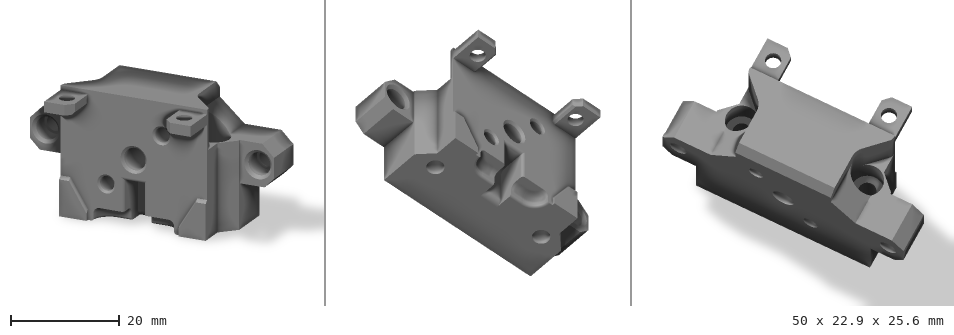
import cadquery as cq
import math

body_half_width = 15.0
body_depth = 15.9
body_height = 25.55
back_chamfer = 1.5

shoulder_half_width = 18.0
shoulder_corner_y = 8.5
shoulder_height = 17.55
ear_half_width = 24.95
ear_depth = 8.2
ear_bottom = 9.05
ear_top_chamfer = 2.4
ear_bottom_chamfer = 1.95
tip_width = 0.7
tip_overhang = 0.1
tip_depth = 0.9

ear_hole_x = 21.75
axis_z = (shoulder_height + ear_bottom) / 2
ear_mouth_dia = 5.7
ear_bore_dia = 4.5
ear_bore_depth = 4.0
screw_dia = 3.4

well_x = 13.0
well_y = 8.65
well_dia = 6.2
well_floor = 12.5
well_radius = well_dia / 2
slope_top = 22.1
well_edge_fillet = 1.5

center_dia = 4.4
center_mouth_dia = 5.4
pin_dia = 2.9
pin_mouth_dia = 3.7
pin_offset = 5.65

lug_width = 5.6
lug_reach = 6.95
lug_bottom = 22.55
lug_thickness = 2.1
lug_corner = 1.4
lug_under_chamfer = 0.45
lug_hole_x = 12.0
lug_hole_reach = 3.45
lug_hole_dia = 3.0

foot_rise = 0.6
foot_top = 7.85
foot_flat_x = 13.0
foot_inner_x = 9.4
foot_base_z = 2.1
foot_raised_z = 1.4

pocket_half_width = 8.25
pocket_height = 2.7
pocket_depth = 3.25
pocket_corner = 3.2
pocket_roof_fillet = 1.2
pocket_rim_fillet = 0.5
slot_half_width = 2.05
slot_height = 8.95
slot_depth = 6.0
slot_end_fillet = 1.1
slot_mouth_fillet = 0.6

margin = 0.05


def both_sides(shape):
    """Return the shape together with its mirror image in the YZ plane."""
    return shape.union(shape.mirror("YZ"))


def box(x0, x1, y0, y1, z0, z1):
    """Box between two corners."""
    return cq.Workplane("XY").box(x1 - x0, y1 - y0, z1 - z0, centered=False).translate((x0, y0, z0))


def near_box(x0, x1, y0, y1, z0, z1):
    """Selector for the edges whose centre lies in a box."""
    return cq.selectors.BoxSelector((x0, y0, z0), (x1, y1, z1))


def front_hole(x, z, dia, mouth_dia, face_y, depth):
    """Hole going in from the front face at -face_y, with a 45 degree countersink."""
    radius = dia / 2
    mouth_radius = mouth_dia / 2
    sink = mouth_radius - radius
    profile = [(0, 0), (mouth_radius, 0), (radius, sink), (radius, depth), (0, depth)]
    hole = cq.Workplane("XY").polyline(profile).close().revolve(360, (0, 0), (0, 1))
    return hole.translate((x, -face_y, z))


def make_body():
    block = box(-body_half_width, body_half_width, -body_depth, 0, 0, body_height)
    return block.edges(">Y and >Z").chamfer(back_chamfer)


def make_shoulders():
    corner_run = shoulder_half_width - body_half_width
    outline = [
        (-shoulder_half_width, 0),
        (-shoulder_half_width, -shoulder_corner_y),
        (-body_half_width, -shoulder_corner_y - corner_run),
        (body_half_width, -shoulder_corner_y - corner_run),
        (shoulder_half_width, -shoulder_corner_y),
        (shoulder_half_width, 0),
    ]
    return cq.Workplane("XY").polyline(outline).close().extrude(shoulder_height)


def make_ears():
    bar = box(-ear_half_width, ear_half_width, -ear_depth, 0, ear_bottom, shoulder_height)
    bar = bar.edges("|Y and >Z").chamfer(ear_top_chamfer)
    bar = bar.edges("|Y and <Z").chamfer(ear_bottom_chamfer)
    tip_z = shoulder_height - ear_top_chamfer
    outline = [
        (ear_half_width - tip_width, tip_z),
        (ear_half_width - tip_width, tip_z + tip_width),
        (ear_half_width + tip_overhang, tip_z),
        (ear_half_width, tip_z - tip_overhang),
    ]
    tip = cq.Workplane("XZ").polyline(outline).close().extrude(tip_depth)
    return bar.union(tip)


def make_well_relief():
    """Space above the +x shoulder: slope behind the well axis, 45 degree flank in front of it."""
    inner_x = well_x - well_radius
    slope = (
        cq.Workplane("XZ")
        .polyline([
            (body_half_width, shoulder_height),
            (inner_x, slope_top),
            (inner_x, body_height),
            (body_half_width, body_height),
        ])
        .close()
        .extrude(well_y)
    )
    tangent = well_radius * math.sqrt(0.5)
    tangent_x = well_x - tangent
    tangent_y = well_y + tangent
    flank_end_y = tangent_y + body_half_width - tangent_x
    flank = (
        cq.Workplane("XY", origin=(0, 0, shoulder_height))
        .polyline([
            (body_half_width, -well_y),
            (well_x, -well_y),
            (tangent_x, -tangent_y),
            (body_half_width, -flank_end_y),
        ])
        .close()
        .extrude(body_height - shoulder_height)
    )
    return slope.union(flank)


def make_lug():
    """Lug on the +x side of the front face."""
    inner_x = body_half_width - lug_width
    lug_front = -body_depth - lug_reach
    lug = box(inner_x, body_half_width, lug_front, -body_depth, lug_bottom, lug_bottom + lug_thickness)
    lug = lug.edges("|Z and <X and <Y").chamfer(lug_corner)
    lug = lug.edges("|Y and <X and <Z").chamfer(lug_under_chamfer)
    hole = (
        cq.Workplane("XY", origin=(lug_hole_x, -body_depth - lug_hole_reach, lug_bottom))
        .circle(lug_hole_dia / 2)
        .extrude(lug_thickness)
    )
    return lug.cut(hole)


def make_foot():
    """Raised foot with sloping flanks at the lower +x corner of the front face."""
    base = [
        (body_half_width, 0),
        (body_half_width, foot_top),
        (foot_flat_x, foot_top),
        (foot_inner_x, foot_base_z),
        (foot_inner_x, 0),
    ]
    raised = [
        (body_half_width, 0),
        (body_half_width, foot_top - foot_rise),
        (foot_flat_x, foot_top - foot_rise),
        (foot_inner_x, foot_raised_z),
        (foot_inner_x, 0),
    ]
    return (
        cq.Workplane("XZ", origin=(0, -body_depth, 0))
        .polyline(base)
        .close()
        .workplane(offset=foot_rise)
        .polyline(raised)
        .close()
        .loft(ruled=True)
    )


def cut_slot(part):
    front = -body_depth
    slot = box(-slot_half_width, slot_half_width, front, front + slot_depth, 0, slot_height)
    slot = slot.edges(">Y and >Z").fillet(slot_end_fillet)
    part = part.cut(slot)
    mouth = near_box(
        -slot_half_width - margin, slot_half_width + margin,
        front - margin, front + margin,
        margin, slot_height + margin,
    )
    part = part.edges(mouth).fillet(slot_mouth_fillet)
    back = front + slot_depth
    lower_end = near_box(-margin, margin, back - margin, back + margin, -margin, margin)
    return part.edges(lower_end).fillet(slot_end_fillet)


def cut_pocket(part):
    front = -body_depth
    back = front + pocket_depth
    pocket = box(-pocket_half_width, pocket_half_width, front, back, 0, pocket_height)
    pocket = pocket.edges("|Z and >Y").fillet(pocket_corner)
    roof_edges = near_box(
        -pocket_half_width - margin, pocket_half_width + margin,
        front + margin, back + margin,
        pocket_height - margin, pocket_height + margin,
    )
    pocket = pocket.edges(roof_edges).fillet(pocket_roof_fillet)
    part = part.cut(pocket)
    rim = near_box(
        -pocket_half_width - margin, pocket_half_width + margin,
        front + margin, back + margin,
        -margin, margin,
    )
    return part.edges(rim).fillet(pocket_rim_fillet)


def make_ear_hole(side):
    """Screw hole through an ear, counterbored and countersunk from the front."""
    x = side * ear_hole_x
    bore = front_hole(x, axis_z, ear_bore_dia, ear_mouth_dia, ear_depth, ear_bore_depth)
    screw = cq.Workplane("XZ", origin=(x, 0, axis_z)).circle(screw_dia / 2).extrude(ear_depth)
    return bore.union(screw)


def make_well(side):
    """Round well open to the top, with a screw hole from its floor to the bottom."""
    axis = cq.Workplane("XY", origin=(side * well_x, -well_y, 0))
    well = axis.workplane(offset=well_floor).circle(well_radius).extrude(body_height - well_floor)
    return well.union(axis.circle(screw_dia / 2).extrude(well_floor))


def make_relieved_body():
    """Body with both well reliefs, the ends of their flanks rounded into the side faces."""
    body = make_body().cut(both_sides(make_well_relief()))
    flank_ends = near_box(
        -body_half_width - margin, body_half_width + margin,
        -body_depth + margin, -well_y,
        shoulder_height + margin, body_height - margin,
    )
    return body.edges("|Z").edges(flank_ends).edges("<X or >X").fillet(well_edge_fillet)


part = make_relieved_body().union(make_shoulders()).union(make_ears())
part = cut_pocket(part)
part = cut_slot(part)
part = part.union(both_sides(make_foot())).union(both_sides(make_lug()))

for side in (-1, 1):
    part = part.cut(make_ear_hole(side))
    part = part.cut(make_well(side))
    pin_z = axis_z + side * pin_offset
    part = part.cut(front_hole(side * pin_offset, pin_z, pin_dia, pin_mouth_dia, body_depth, body_depth))
part = part.cut(front_hole(0, axis_z, center_dia, center_mouth_dia, body_depth, body_depth))

result = part